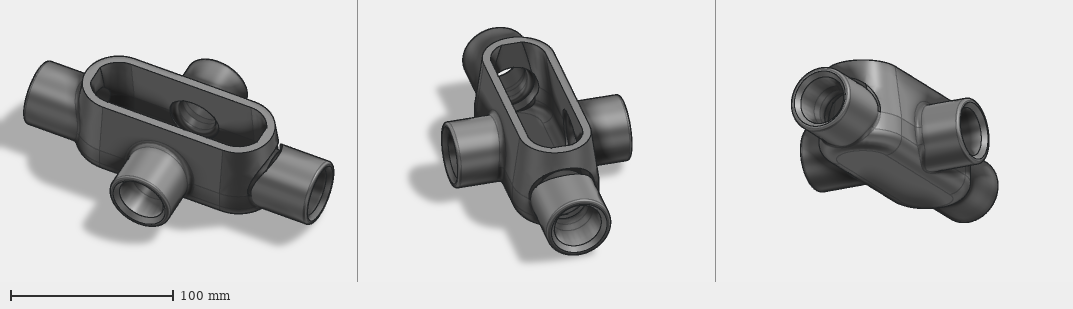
import cadquery as cq
import math

length = 194.0
width = 111.3
height = 57.2
base_depth = 22.3
rim_height = height - base_depth

end_centre_span = 82.2
body_radius = 27.2
rim_radius = 22.5
wall = 5.2
draft_angle = math.degrees(math.atan((body_radius - rim_radius) / rim_height))
base_fillet = 10.9
cavity_fillet = 6.5
cavity_length = 114.2

port_diameter = 41.3
rim_fillet = 1.7
root_fillet = 3.1
mouth_diameter = 35.7
mouth_depth = 3.1
socket_diameter = 30.0
socket_end_diameter = 28.1
throat_diameter = 25.6
relief_diameter = 33.5
socket_depth = 18.6
throat_depth = 23.7
flare_depth = 29.0
flare_radius = 3.3
bore_inner_end = 9.7

tolerance = 0.04


def drafted_slot(radius, floor_z, floor_fillet):
    """Round-ended block, straight from floor_z to z = 0 and drafted up to the rim."""
    slot_length = end_centre_span + 2 * radius
    lower = cq.Workplane("XY").workplane(offset=floor_z).slot2D(slot_length, 2 * radius).extrude(-floor_z)
    lower = lower.faces("<Z").edges().fillet(floor_fillet)
    upper = cq.Workplane("XY").slot2D(slot_length, 2 * radius).extrude(rim_height, taper=draft_angle)
    return lower.union(upper)


def seam_to_underside(shape):
    """Roll a round shape about X so its surface seam avoids the z = 0 edges of the body."""
    return shape.rotate((0, 0, 0), (1, 0, 0), 270)


def turn_to_port(shape, angle):
    """Swing a shape built along +X round to the port at the given angle."""
    return shape.rotate((0, 0, 0), (0, 0, 1), angle)


def port_tube(reach):
    """Solid tube blank from the body centre out to the port end."""
    tube = cq.Workplane("YZ").circle(port_diameter / 2).extrude(reach)
    tube = tube.faces(">X").edges().fillet(rim_fillet)
    return seam_to_underside(tube)


def is_root_edge(edge):
    """True for an edge where a tube's outer surface runs into the body."""
    if edge.geomType() == "LINE":
        return False
    middle = edge.positionAt(0.5)
    port_radius = port_diameter / 2
    along_x = abs(math.hypot(middle.y, middle.z) - port_radius) < tolerance
    along_y = abs(math.hypot(middle.x, middle.z) - port_radius) < tolerance
    near_end_wall = along_x and abs(middle.x) < end_centre_span / 2 + body_radius
    near_side_wall = along_y and abs(middle.y) < body_radius + tolerance
    return near_end_wall or near_side_wall


def port_bore(reach):
    """Revolved bore: mouth bevel, tapered socket, flared throat, wide relief into the cavity."""
    throat_radius = throat_diameter / 2
    socket_end = reach - socket_depth
    throat_start = reach - throat_depth
    flare_start = reach - flare_depth
    flare_end = flare_start - flare_radius
    flare_sag = flare_radius * (1 - math.sqrt(0.5))
    bore = (
        cq.Workplane("XY")
        .moveTo(bore_inner_end, 0)
        .lineTo(bore_inner_end, relief_diameter / 2)
        .lineTo(flare_end, relief_diameter / 2)
        .lineTo(flare_end, throat_radius + flare_radius)
        .threePointArc(
            (flare_end + flare_sag, throat_radius + flare_sag),
            (flare_start, throat_radius),
        )
        .lineTo(throat_start, throat_radius)
        .lineTo(socket_end, socket_end_diameter / 2)
        .lineTo(reach - mouth_depth, socket_diameter / 2)
        .lineTo(reach, mouth_diameter / 2)
        .lineTo(reach, 0)
        .close()
        .revolve(360, (0, 0, 0), (1, 0, 0))
    )
    return seam_to_underside(bore)


ports = [(0, length / 2), (90, width / 2), (180, length / 2), (270, width / 2)]

outer = drafted_slot(body_radius, -base_depth, base_fillet)
for angle, reach in ports:
    outer = outer.union(turn_to_port(port_tube(reach), angle))
outer = outer.edges().filter(is_root_edge).fillet(root_fillet)

cavity = drafted_slot(body_radius - wall, wall - base_depth, cavity_fillet)
cavity = cavity.intersect(cq.Workplane("XY").box(cavity_length, width, 2 * height))
result = outer.cut(cavity)
for angle, reach in ports:
    result = result.cut(turn_to_port(port_bore(reach), angle))